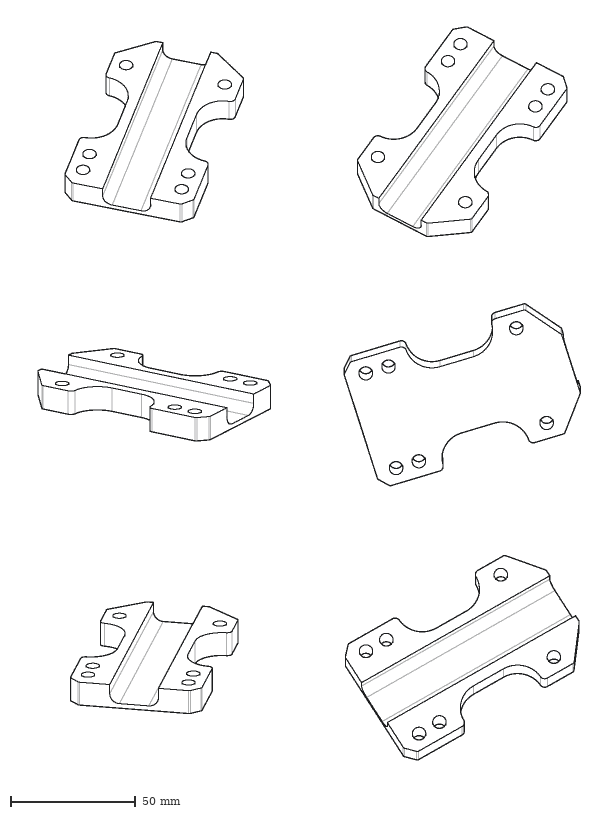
import cadquery as cq
import math

width = 54.0
length = 88.5
thickness = 10.0
half_width = width / 2

front_bevel_x = 4.25
front_bevel_y = 4.0
rear_bevel_x = 14.2
rear_bevel_y = 11.1
bevel_rounding = 1.0

waist_width = 28.9
waist_center_y = 44.9
waist_flat_length = 14.1
waist_radius = 11.0
waist_lip_radius = 2.0

channel_width = 20.0
channel_floor_z = 2.0
channel_radius = 4.0

hole_diameter = 5.4
hole_spacing_x = 41.2
hole_rows_y = (8.5, 18.05, 71.9)


def make_plate():
    """Rectangular plate with four bevelled corners, rounded where the bevels end."""
    right_half = [
        (half_width - front_bevel_x, 0),
        (half_width, front_bevel_y),
        (half_width, length - rear_bevel_y),
        (half_width - rear_bevel_x, length),
    ]
    left_half = [(-x, y) for x, y in reversed(right_half)]
    plate = cq.Workplane("XY").polyline(right_half + left_half).close().extrude(thickness)
    return plate.edges("|Z").fillet(bevel_rounding)


def make_right_waist():
    """Recess in the +X side: two large arcs, each blending into a convex lip."""
    waist_x = waist_width / 2
    arc_x = waist_x + waist_radius
    arc_y = waist_flat_length / 2
    lip_x = half_width - waist_lip_radius

    center_distance = waist_radius + waist_lip_radius
    lip_y = arc_y + math.sqrt(center_distance**2 - (arc_x - lip_x) ** 2)
    touch_share = waist_radius / center_distance
    touch_x = arc_x + (lip_x - arc_x) * touch_share
    touch_y = arc_y + (lip_y - arc_y) * touch_share

    arc_angle = math.atan2(touch_y - arc_y, touch_x - arc_x)
    arc_mid_angle = (arc_angle + math.pi) / 2
    arc_mid_x = arc_x + waist_radius * math.cos(arc_mid_angle)
    arc_mid_y = arc_y + waist_radius * math.sin(arc_mid_angle)

    lip_mid_angle = (arc_angle - math.pi) / 2
    lip_mid_x = lip_x + waist_lip_radius * math.cos(lip_mid_angle)
    lip_mid_y = lip_y + waist_lip_radius * math.sin(lip_mid_angle)

    return (
        cq.Workplane("XY", origin=(0, waist_center_y, 0))
        .moveTo(waist_x, -arc_y)
        .lineTo(waist_x, arc_y)
        .threePointArc((arc_mid_x, arc_mid_y), (touch_x, touch_y))
        .threePointArc((lip_mid_x, lip_mid_y), (half_width, lip_y))
        .lineTo(half_width, -lip_y)
        .threePointArc((lip_mid_x, -lip_mid_y), (touch_x, -touch_y))
        .threePointArc((arc_mid_x, -arc_mid_y), (waist_x, -arc_y))
        .close()
        .extrude(thickness)
    )


def make_channel():
    """Open-topped channel with rounded lower corners, running the full length."""
    return (
        cq.Workplane("XY", origin=(0, length / 2, channel_floor_z))
        .rect(channel_width, length)
        .extrude(thickness - channel_floor_z)
        .edges("|Y and <Z")
        .fillet(channel_radius)
    )


def make_holes():
    """Three pairs of plain through holes."""
    hole_centers = [(side * hole_spacing_x / 2, y) for y in hole_rows_y for side in (-1, 1)]
    return cq.Workplane("XY").pushPoints(hole_centers).circle(hole_diameter / 2).extrude(thickness)


right_waist = make_right_waist()
result = (
    make_plate()
    .cut(right_waist)
    .cut(right_waist.mirror("YZ"))
    .cut(make_channel())
    .cut(make_holes())
)